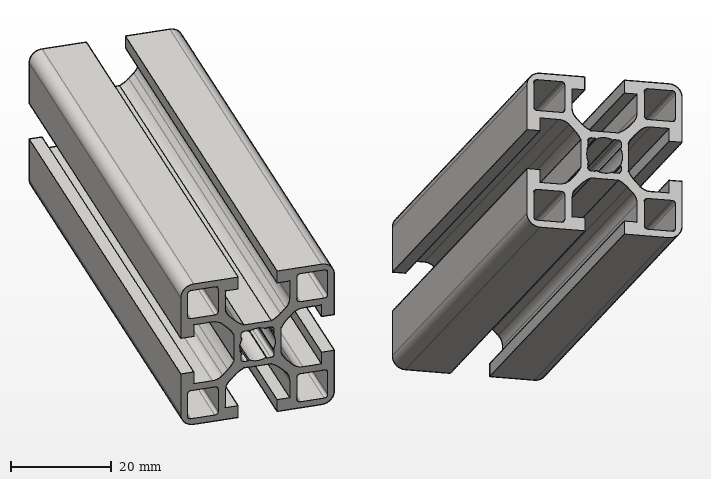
import cadquery as cq
import math

length = 100.0
width = 32.0
corner_radius = 2.7

slot_opening = 8.1
lip_thickness = 2.7
slot_inner_width = 13.4
slot_floor_height = 4.9
web_thickness = 2.1
wall_bend_radius = 3.0

outer_wall = 1.4
slot_wall = 1.5
box_radius = 0.7

bore_diameter = 7.4
relief_square = 6.9
relief_width = 2.1
relief_radius = 0.7

half_width = width / 2
slot_half = slot_inner_width / 2
web_offset = web_thickness / math.sqrt(2)


def profile_plane():
    return cq.Workplane("YZ")


def make_slot():
    """Prism removed by the T-slot on the +Z side."""
    arc_radius = slot_half
    arc_centre = web_offset + arc_radius * math.sqrt(2)
    floor_angle = math.acos((arc_centre - slot_floor_height) / arc_radius)
    web_angle = math.pi / 4

    def arc_point(angle, side):
        """Point on the arc, with the angle measured from straight down."""
        return (
            side * arc_radius * math.sin(angle),
            arc_centre - arc_radius * math.cos(angle),
        )

    middle_angle = (floor_angle + web_angle) / 2
    wall_bottom = slot_half + web_offset
    lip_underside = half_width - lip_thickness
    cavity = (
        profile_plane()
        .moveTo(*arc_point(floor_angle, -1))
        .lineTo(*arc_point(floor_angle, 1))
        .threePointArc(arc_point(middle_angle, 1), arc_point(web_angle, 1))
        .lineTo(slot_half, wall_bottom)
        .lineTo(slot_half, lip_underside)
        .lineTo(-slot_half, lip_underside)
        .lineTo(-slot_half, wall_bottom)
        .lineTo(*arc_point(web_angle, -1))
        .threePointArc(arc_point(middle_angle, -1), arc_point(floor_angle, -1))
        .close()
        .extrude(length)
    )
    web_top = arc_point(web_angle, 1)[1]
    wall_edges = cq.selectors.BoxSelector(
        (0, -half_width, (web_top + wall_bottom) / 2),
        (length, half_width, (wall_bottom + lip_underside) / 2),
    )
    cavity = cavity.edges("|X").edges(wall_edges).fillet(wall_bend_radius)
    opening = (
        profile_plane()
        .center(0, half_width - lip_thickness / 2)
        .rect(slot_opening, lip_thickness)
        .extrude(length)
    )
    return cavity.union(opening)


def make_corner_boxes():
    """Four rounded square channels, one in each corner."""
    inner_edge = slot_half + slot_wall
    outer_edge = half_width - outer_wall
    spacing = inner_edge + outer_edge
    side = outer_edge - inner_edge
    return (
        profile_plane()
        .rect(spacing, spacing, forConstruction=True)
        .vertices()
        .rect(side, side)
        .extrude(length)
        .edges("|X")
        .fillet(box_radius)
    )


def make_core():
    """Round bore widened by diagonal slots that end in a rounded square."""
    core = profile_plane().circle(bore_diameter / 2).extrude(length)
    square = profile_plane().rect(relief_square, relief_square).extrude(length)
    square = square.edges("|X").fillet(relief_radius)
    for angle in (45, -45):
        diagonal = (
            profile_plane()
            .rect(2 * relief_square, relief_width)
            .extrude(length)
            .rotate((0, 0, 0), (1, 0, 0), angle)
        )
        core = core.union(square.intersect(diagonal))
    return core


body = profile_plane().rect(width, width).extrude(length)
body = body.edges("|X").fillet(corner_radius)
slot = make_slot()
for quarter_turn in range(4):
    body = body.cut(slot.rotate((0, 0, 0), (1, 0, 0), 90 * quarter_turn))
result = body.cut(make_corner_boxes()).cut(make_core())